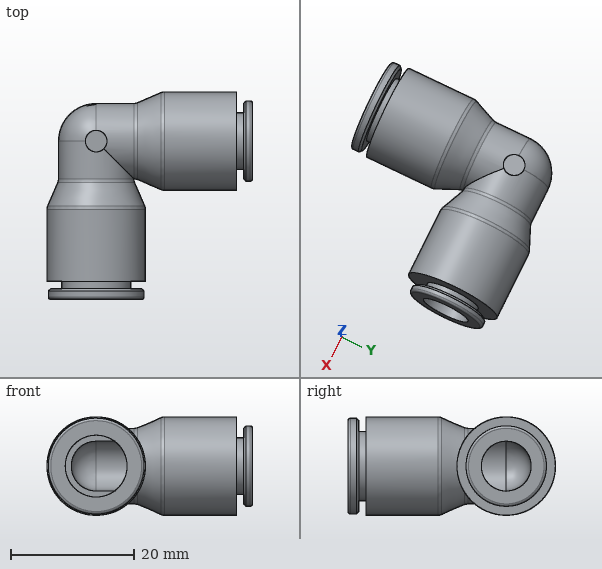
import cadquery as cq

overall_x = 33.35
overall_y = 33.65

housing_radius = 16.0 / 2
elbow_radius = 6.12
cone_start = 6.45
cone_end = 10.77
housing_end = 22.75
cone_blend = 1.45

side_collar_end = overall_x - housing_radius
front_collar_end = overall_y - housing_radius
collar_gap = 1.15
collar_edge = 0.4
side_neck_radius = 4.6
front_neck_radius = 5.62
side_collar_radius = 6.53
front_collar_radius = 7.77

side_bore_radius = 4.05
front_bore_radius = 5.0

badge_radius = 1.75
badge_depth = 0.27


def housing(plane):
    """Round tube widening through a blended cone into the socket."""
    profile = [
        (0, 0),
        (elbow_radius, 0),
        (elbow_radius, cone_start),
        (housing_radius, cone_end),
        (housing_radius, housing_end),
        (0, housing_end),
    ]
    body = cq.Workplane("XZ").polyline(profile).close().revolve(360, (0, 0), (0, 1))
    cone_edges = cq.selectors.BoxSelector(
        (-housing_radius, -housing_radius, elbow_radius),
        (housing_radius, housing_radius, housing_end - elbow_radius),
    )
    body = body.edges("%CIRCLE").edges(cone_edges).fillet(cone_blend)
    return cq.Workplane(body.val().moved(cq.Location(cq.Plane.named(plane))))


def collar(plane, neck_radius, rim_radius, end):
    """Release collar: a neck and a rim chamfered behind and rounded in front."""
    rim_start = housing_end + collar_gap
    neck = cq.Workplane(plane).circle(neck_radius).extrude(rim_start)
    rim = cq.Workplane(plane).workplane(offset=rim_start).circle(rim_radius).extrude(end - rim_start)
    outward = cq.Plane.named(plane).zDir
    rim = rim.faces(cq.selectors.DirectionMinMaxSelector(outward, False)).edges().chamfer(collar_edge)
    rim = rim.faces(cq.selectors.DirectionMinMaxSelector(outward, True)).edges().fillet(collar_edge)
    return neck.union(rim)


body = cq.Workplane().sphere(elbow_radius)
body = body.union(housing("YZ")).union(housing("XZ"))
body = body.union(collar("YZ", side_neck_radius, side_collar_radius, side_collar_end))
body = body.union(collar("XZ", front_neck_radius, front_collar_radius, front_collar_end))

body = body.cut(cq.Workplane().sphere(side_bore_radius))
body = body.cut(cq.Workplane("YZ").circle(side_bore_radius).extrude(side_collar_end))
body = body.cut(cq.Workplane("XZ").circle(front_bore_radius).extrude(front_collar_end))

badge = cq.Workplane().workplane(offset=elbow_radius - badge_depth).circle(badge_radius).extrude(housing_radius)
result = body.cut(badge)